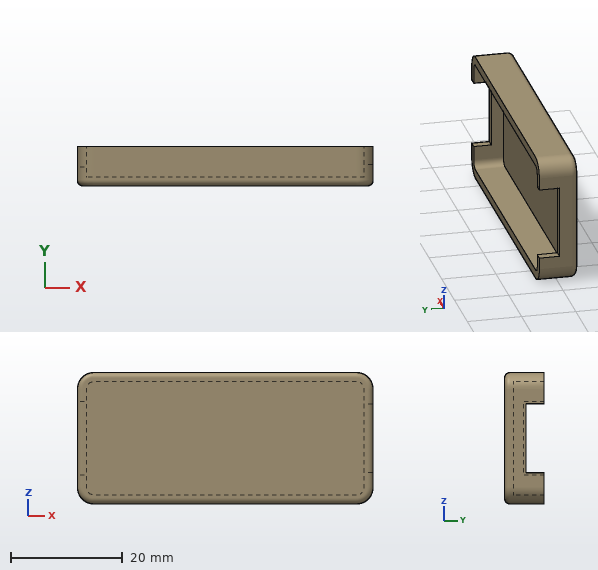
import cadquery as cq

length = 53.0
depth = 7.1
height = 23.6
corner_radius = 2.95
front_edge_radius = 1.0

wall = 1.65
inner_corner_radius = corner_radius - wall

left_notch_height = 13.25
left_notch_depth = 3.7
notch_step = 0.5
right_notch_height = left_notch_height - 2 * notch_step
right_notch_depth = left_notch_depth - notch_step

rim_y = depth / 2


def rounded_block(size_x, size_y, size_z, radius):
    """Block centred on the origin, with its four Y-direction edges rounded."""
    return cq.Workplane("XY").box(size_x, size_y, size_z).edges("|Y").fillet(radius)


def end_notch(side, notch_height, notch_depth):
    """Cutter for one end wall; side is -1 for the -X end and +1 for the +X end."""
    cutter_length = 2 * wall
    center = (side * length / 2, rim_y - notch_depth / 2, 0)
    return cq.Workplane("XY").box(cutter_length, notch_depth, notch_height).translate(center)


body = rounded_block(length, depth, height, corner_radius)
body = body.faces("<Y").edges().fillet(front_edge_radius)

cavity = rounded_block(length - 2 * wall, depth - wall, height - 2 * wall, inner_corner_radius)
body = body.cut(cavity.translate((0, wall / 2, 0)))

body = body.cut(end_notch(-1, left_notch_height, left_notch_depth))
result = body.cut(end_notch(1, right_notch_height, right_notch_depth))